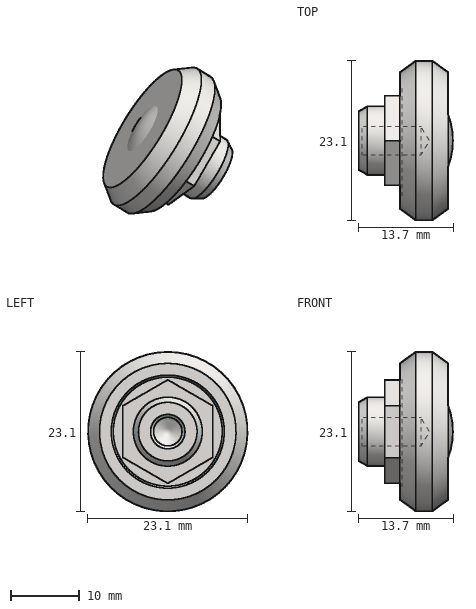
import cadquery as cq
import math


spigot_diameter = 10.0
spigot_length = 3.8
spigot_chamfer_length = 1.3
spigot_chamfer_angle = 30.0

hex_across_flats = 13.0
hex_height = 2.2

wheel_diameter = 23.14
wheel_width = 7.0
bevel_width = 2.3
bevel_depth = 1.67

recess_diameter = 16.4
recess_depth = 0.3

dome_diameter = 7.6
dome_height = 0.7

bore_diameter = 4.13
bore_depth = 9.0
bore_mouth_diameter = 5.0
drill_point_angle = 118.0

wheel_start = spigot_length + hex_height
wheel_end = wheel_start + wheel_width
recess_floor = wheel_start + recess_depth


def revolve_about_x(profile):
    """Revolve a closed (x, radius) profile a full turn about the X axis."""
    return profile.close().revolve(360, (0, 0, 0), (1, 0, 0))


def make_spigot():
    radius = spigot_diameter / 2
    end_radius = radius - spigot_chamfer_length * math.tan(math.radians(spigot_chamfer_angle))
    profile = (
        cq.Workplane("XZ")
        .lineTo(0, end_radius)
        .lineTo(spigot_chamfer_length, radius)
        .lineTo(recess_floor, radius)
        .lineTo(recess_floor, 0)
    )
    return revolve_about_x(profile)


def make_hex():
    across_corners = hex_across_flats / math.cos(math.pi / 6)
    return (
        cq.Workplane("YZ", origin=(spigot_length, 0, 0))
        .transformed(rotate=(0, 0, 90))
        .polygon(6, across_corners)
        .extrude(recess_floor - spigot_length)
    )


def make_wheel():
    """Bevelled wheel, including the recess and the domed cap."""
    radius = wheel_diameter / 2
    face_radius = radius - bevel_depth
    recess_radius = recess_diameter / 2
    dome_radius = dome_diameter / 2
    sphere_radius = (dome_radius**2 + dome_height**2) / (2 * dome_height)
    dome_tip = wheel_end + dome_height
    half_angle = math.asin(dome_radius / sphere_radius) / 2
    dome_midpoint = (
        dome_tip - sphere_radius * (1 - math.cos(half_angle)),
        sphere_radius * math.sin(half_angle),
    )
    profile = (
        cq.Workplane("XZ")
        .moveTo(recess_floor, 0)
        .lineTo(recess_floor, recess_radius - recess_depth)
        .lineTo(wheel_start, recess_radius)
        .lineTo(wheel_start, face_radius)
        .lineTo(wheel_start + bevel_width, radius)
        .lineTo(wheel_end - bevel_width, radius)
        .lineTo(wheel_end, face_radius)
        .lineTo(wheel_end, dome_radius)
        .threePointArc(dome_midpoint, (dome_tip, 0))
    )
    return revolve_about_x(profile)


def make_bore():
    radius = bore_diameter / 2
    mouth_radius = bore_mouth_diameter / 2
    countersink_depth = mouth_radius - radius
    point_length = radius / math.tan(math.radians(drill_point_angle / 2))
    profile = (
        cq.Workplane("XZ")
        .lineTo(0, mouth_radius)
        .lineTo(countersink_depth, radius)
        .lineTo(bore_depth, radius)
        .lineTo(bore_depth + point_length, 0)
    )
    return revolve_about_x(profile)


result = make_wheel().union(make_hex()).union(make_spigot()).cut(make_bore())